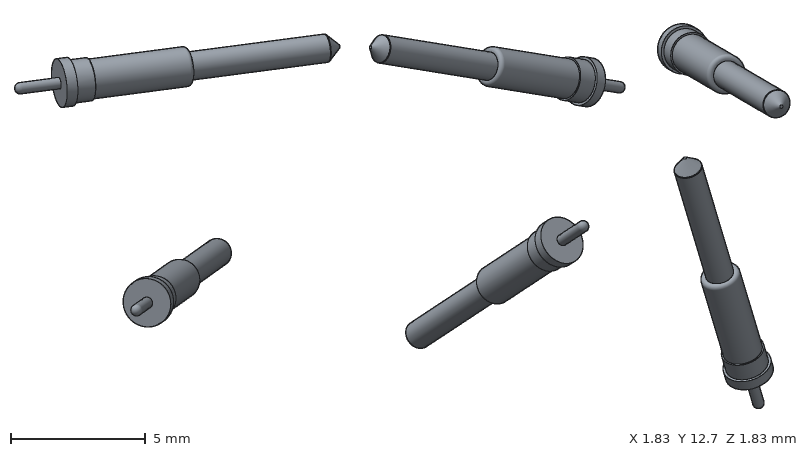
import cadquery as cq

total_length = 12.7
tail_end = -total_length / 2
tip_end = total_length / 2

tail_radius = 0.43 / 2
tail_length = 1.74
flange_radius = 1.83 / 2
flange_thickness = 0.42
collar_radius = 1.63 / 2
collar_length = 0.74
sleeve_radius = 1.5 / 2
sleeve_length = 3.9
mouth_fillet = 0.15

flange_start = tail_end + tail_length
collar_start = flange_start + flange_thickness
sleeve_start = collar_start + collar_length
sleeve_end = sleeve_start + sleeve_length

plunger_radius = 1.07 / 2
tip_radius = 0.06
cone_length = 0.5
edge_break_length = 0.04
edge_break_depth = 0.01
cone_radius = plunger_radius - edge_break_depth
cone_start = tip_end - cone_length
bore_floor = sleeve_start


def cylinder(radius, start, end):
    """Solid cylinder on the Y axis between two stations."""
    plane = cq.Plane(origin=(0, start, 0), xDir=(1, 0, 0), normal=(0, 1, 0))
    return cq.Workplane(plane).circle(radius).extrude(end - start)


def make_tail():
    """Thin tail with a hemispherical end."""
    shank_start = tail_end + tail_radius
    dome = cq.Workplane("XY").sphere(tail_radius).translate((0, shank_start, 0))
    return cylinder(tail_radius, shank_start, flange_start).union(dome)


def revolve_about_y(outline):
    """Solid of revolution from an outline with radius along X."""
    return outline.close().revolve(360, (0, 0, 0), (0, 1, 0))


def make_barrel():
    """Sleeve with a rounded mouth, press-fit collar, flange, tail and plunger bore."""
    sleeve = cylinder(sleeve_radius, sleeve_start, sleeve_end).faces(">Y").edges().fillet(mouth_fillet)
    collar = cylinder(collar_radius, collar_start, sleeve_start)
    flange = cylinder(flange_radius, flange_start, collar_start)
    bore = cylinder(plunger_radius, bore_floor, sleeve_end)
    return sleeve.union(collar).union(flange).union(make_tail()).cut(bore)


def make_plunger():
    """Round plunger with a lightly broken edge and a blunted conical tip."""
    outline = cq.Workplane("XY").polyline([
        (0, bore_floor),
        (plunger_radius, bore_floor),
        (plunger_radius, cone_start - edge_break_length),
        (cone_radius, cone_start),
        (tip_radius, tip_end),
        (0, tip_end),
    ])
    return revolve_about_y(outline)


barrel = make_barrel()
plunger = make_plunger()

result = cq.Compound.makeCompound([barrel.solids().val(), plunger.val()])